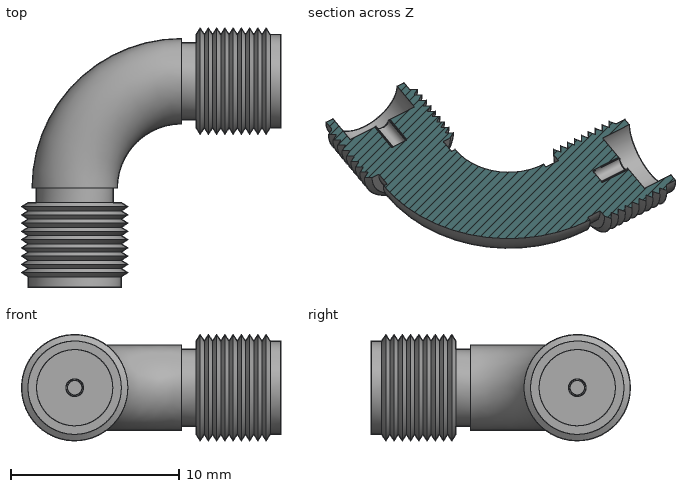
import cadquery as cq
overall_length = 15.43
crest_radius = 3.16
port_reach = overall_length - crest_radius
port_angles = (0, 90)

elbow_radius = 2.55
neck_radius = 2.3
neck_length = 0.86

root_radius = 2.78
collar_length = 0.63
thread_length = 4.41
ridge_count = 9
ridge_pitch = thread_length / ridge_count

socket_radius = 2.27
socket_depth = 1.88

contact_radius = 0.51
contact_bore_radius = 0.43
contact_length = 1.85
contact_hole_radius = 0.52

outer_end_y = -port_reach
thread_start_y = outer_end_y + collar_length
thread_end_y = thread_start_y + thread_length
neck_end_y = thread_end_y + neck_length
socket_floor_y = outer_end_y + socket_depth

bend_radius = -neck_end_y


def at_port(body, port_angle):
    """Turn a body made for the port on -Y about Z, to the port at the given angle."""
    return body.rotate((0, 0, 0), (0, 0, 1), port_angle)


def make_rod(start_y, radius, length):
    """Cylinder on the Y axis that runs from start_y toward +Y."""
    return cq.Workplane("XZ", origin=(0, start_y, 0)).circle(radius).extrude(-length)


def make_elbow():
    """Quarter bend that joins the inner ends of the two necks."""
    return (
        cq.Workplane("XZ", origin=(0, neck_end_y, 0))
        .circle(elbow_radius)
        .revolve(90, (bend_radius, 0), (bend_radius, -1))
    )


def make_port():
    """Collar, ring-shaped ridges and neck, turned as one piece about the Y axis."""
    outline = (
        cq.Workplane("XY")
        .moveTo(0, outer_end_y)
        .lineTo(root_radius, outer_end_y)
        .lineTo(root_radius, thread_start_y)
    )
    for ridge in range(ridge_count):
        ridge_start_y = thread_start_y + ridge * ridge_pitch
        outline = outline.lineTo(crest_radius, ridge_start_y + ridge_pitch / 2)
        outline = outline.lineTo(root_radius, ridge_start_y + ridge_pitch)
    outline = (
        outline.lineTo(neck_radius, thread_end_y)
        .lineTo(neck_radius, neck_end_y)
        .lineTo(0, neck_end_y)
        .close()
    )
    return outline.revolve(360, (0, 0), (0, 1))


def make_port_cavity():
    """Socket and the contact hole in its floor, as one cutting shape."""
    socket = make_rod(outer_end_y, socket_radius, socket_depth)
    contact_hole = make_rod(socket_floor_y, contact_hole_radius, contact_length)
    return socket.union(contact_hole)


def make_housing():
    """Elbow with a port at each end, hollowed by the sockets and contact holes."""
    housing = make_elbow()
    for angle in port_angles:
        housing = housing.union(at_port(make_port(), angle))
    for angle in port_angles:
        housing = housing.cut(at_port(make_port_cavity(), angle))
    return housing


def make_contact():
    """Plain tube whose inner end rests on the bottom of the contact hole."""
    tube = make_rod(socket_floor_y, contact_radius, contact_length)
    bore = make_rod(socket_floor_y, contact_bore_radius, contact_length)
    return tube.cut(bore)


housing = make_housing()

contacts = []
for angle in port_angles:
    contacts.append(at_port(make_contact(), angle).val())

result = cq.Compound.makeCompound([housing.val(), *contacts])